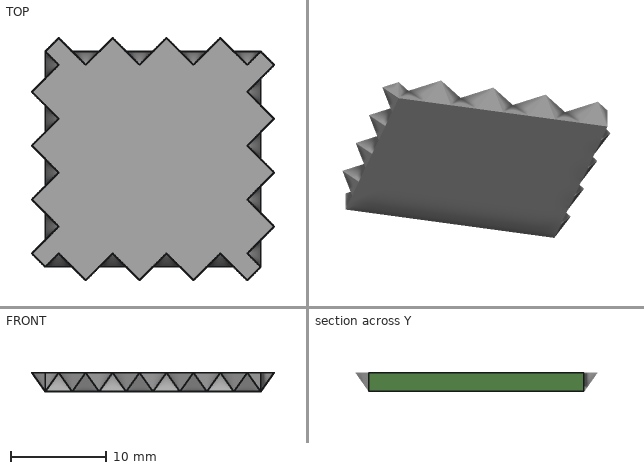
import cadquery as cq
import math

outer_width = 25.45
cells_per_side = 8
side_count = 4

cell = outer_width / (cells_per_side + 1)
half_cell = cell / 2
half_base = cells_per_side * half_cell

thickness = cell / math.sqrt(2)


def turned(x, y, z, quarter_turns):
    """Point rotated about Z by a whole number of quarter turns."""
    for _ in range(quarter_turns):
        x, y = -y, x
    return cq.Vector(x, y, z)


def flat_face(points):
    return cq.Face.makeFromWires(cq.Wire.makePolygon(points, close=True))


def build_side(quarter_turns):
    """Wall faces of one side, with its stretches of the top and base outlines."""
    base_points = []
    for i in range(cells_per_side + 1):
        base_points.append(turned(i * cell - half_base, -half_base, 0, quarter_turns))

    start_corner = turned(-half_base, -half_base, thickness, quarter_turns)
    end_corner = turned(half_base, -half_base, thickness, quarter_turns)
    top_points = [start_corner]
    for i in range(cells_per_side):
        lean = half_cell if i % 2 == 0 else -half_cell
        tip_x = (i + 0.5) * cell - half_base
        top_points.append(turned(tip_x, lean - half_base, thickness, quarter_turns))

    walls = []
    for i in range(cells_per_side):
        walls.append(flat_face([base_points[i], base_points[i + 1], top_points[i + 1]]))

    top_ends = top_points + [end_corner]
    for i, base_point in enumerate(base_points):
        walls.append(flat_face([base_point, top_ends[i + 1], top_ends[i]]))
    return walls, top_points, base_points[:-1]


faces = []
top_outline = []
base_outline = []
for side in range(side_count):
    side_walls, side_top, side_base = build_side(side)
    faces += side_walls
    top_outline += side_top
    base_outline += side_base

faces.append(flat_face(top_outline))
faces.append(flat_face(base_outline))

result = cq.Workplane(cq.Solid.makeSolid(cq.Shell.makeShell(faces)))